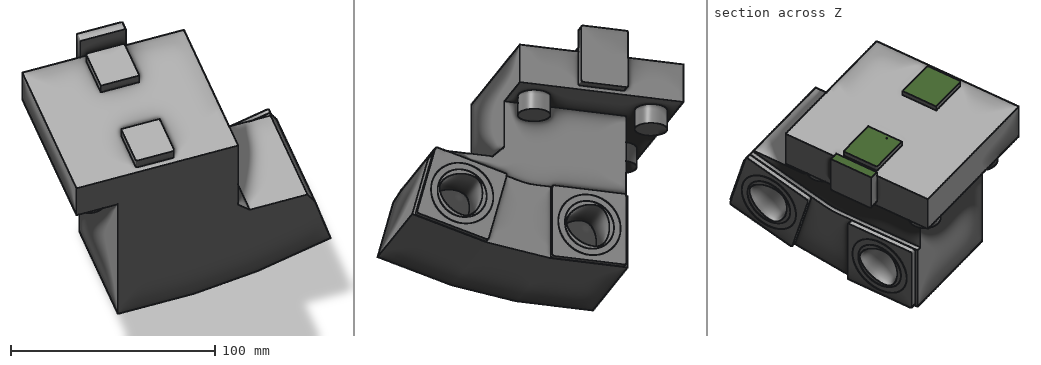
import cadquery as cq
import math

PLATE_X = 80.0
PLATE_Y = 84.0
PLATE_THICK = 20.0

TAB_THICK = 5.0
TAB_WIDTH = 24.0
TAB_HEIGHT = 30.0
TAB_RISE = 12.0
CORNER_RADIUS = 1.0

KEY_X = 22.0
KEY_Y = 20.0
KEY_HEIGHT = 5.0
KEY_EDGE_GAP = 3.0

PIN_DIAMETER = 16.0
PIN_LENGTH = 10.0
PIN_INSET_X = 15.0
PIN_INSET_Y = 12.0

BODY_X = 25.5
BODY_BOTTOM_Z = -101.5
SHOULDER_Z = -50.0
SHOULDER_CHAMFER = 6.0
SHOULDER_END_Y = 120.0
FRONT_X = 23.0

SEAT_TILT = 15.0
SEAT_SPACING = 65.92
SEAT_HALF = 19.0
SEAT_END = 20.5
SEAT_Y = PLATE_Y / 2
SEAT_Z = BODY_BOTTOM_Z + SEAT_HALF
END_FACE_TOP = 12.0
BEND_RADIUS = 30.0

PAD_WIDTH = 38.0
PAD_HEIGHT = 37.5
PAD_THICK = 2.75
RING_OUTER = 32.0
RING_INNER = 25.2
RING_HEIGHT = 0.25

SOCKET_WIDTH = 22.0
SOCKET_LOBE = 0.7
SOCKET_DEPTH = 20.0
SOCKET_TAPER = 1 / 20
SOCKET_POINTS = 36

half_tilt = math.radians(SEAT_TILT / 2)
seat_centers = [
    (SEAT_Y, SEAT_Z, 0.0),
    (
        SEAT_Y + SEAT_SPACING * math.cos(half_tilt),
        SEAT_Z + SEAT_SPACING * math.sin(half_tilt),
        SEAT_TILT,
    ),
]


def on_tilted_seat(along, up):
    """Y, Z of a point given in the tilted seat's own directions."""
    y, z, tilt = seat_centers[1]
    angle = math.radians(tilt)
    return (
        y + along * math.cos(angle) - up * math.sin(angle),
        z + along * math.sin(angle) + up * math.cos(angle),
    )


def box_between(low, high):
    size = [b - a for a, b in zip(low, high)]
    return cq.Workplane("XY").box(*size, centered=False).translate(low)


def make_plate():
    return box_between((0, 0, -PLATE_THICK), (PLATE_X, PLATE_Y, 0))


def make_tab():
    low = (-TAB_THICK, (PLATE_Y - TAB_WIDTH) / 2, TAB_RISE - TAB_HEIGHT)
    high = (0, (PLATE_Y + TAB_WIDTH) / 2, TAB_RISE)
    return box_between(low, high).edges("|X").fillet(CORNER_RADIUS)


def make_keys():
    """Two pads, rounded at the corners nearest the plate's X ends."""
    low_y = (PLATE_Y - KEY_Y) / 2
    left = box_between(
        (KEY_EDGE_GAP, low_y, 0),
        (KEY_EDGE_GAP + KEY_X, low_y + KEY_Y, KEY_HEIGHT),
    )
    left = left.faces("<X").edges("|Z").fillet(CORNER_RADIUS)
    right = left.mirror("YZ", (PLATE_X / 2, 0, 0))
    return left.add(right).combine()


def make_pins():
    return (
        cq.Workplane("XY", origin=(PLATE_X / 2, PLATE_Y / 2, -PLATE_THICK))
        .rect(PLATE_X - 2 * PIN_INSET_X, PLATE_Y - 2 * PIN_INSET_Y, forConstruction=True)
        .vertices()
        .circle(PIN_DIAMETER / 2)
        .extrude(-PIN_LENGTH)
    )


def make_body():
    """Cranked body, with its upper -X face set back above the seats."""
    back_y = SEAT_Y - SEAT_END
    outline = [
        (back_y, -PLATE_THICK),
        (PLATE_Y, -PLATE_THICK),
        (PLATE_Y, SHOULDER_Z + SHOULDER_CHAMFER),
        (PLATE_Y + SHOULDER_CHAMFER, SHOULDER_Z),
        (SHOULDER_END_Y, SHOULDER_Z),
        on_tilted_seat(SEAT_END, END_FACE_TOP),
        on_tilted_seat(SEAT_END, -SEAT_HALF),
        on_tilted_seat(-SEAT_HALF, -SEAT_HALF),
        (SEAT_Y + SEAT_HALF, BODY_BOTTOM_Z),
        (back_y, BODY_BOTTOM_Z),
    ]
    body = cq.Workplane("YZ", origin=(FRONT_X, 0, 0)).polyline(outline).close()
    body = body.extrude(PLATE_X - FRONT_X)

    seat_top = SEAT_Z + SEAT_HALF
    bend_y = SEAT_Y + SEAT_SPACING / 2 / math.cos(half_tilt) - SEAT_HALF * math.tan(half_tilt)
    tangent = BEND_RADIUS * math.tan(half_tilt)
    tilt = math.radians(SEAT_TILT)
    arc_start = (bend_y - tangent, seat_top)
    arc_mid = (
        arc_start[0] + BEND_RADIUS * math.sin(half_tilt),
        seat_top + BEND_RADIUS * (1 - math.cos(half_tilt)),
    )
    arc_end = (bend_y + tangent * math.cos(tilt), seat_top + tangent * math.sin(tilt))
    far_end = on_tilted_seat(SEAT_END, SEAT_HALF)
    set_back = (
        cq.Workplane("YZ", origin=(FRONT_X, 0, 0))
        .moveTo(back_y, seat_top)
        .lineTo(*arc_start)
        .threePointArc(arc_mid, arc_end)
        .lineTo(*far_end)
        .lineTo(far_end[0], -PLATE_THICK)
        .lineTo(back_y, -PLATE_THICK)
        .close()
        .extrude(BODY_X - FRONT_X)
    )
    return body.cut(set_back)


def seat_plane(y, z, tilt, x):
    """Plane facing +X with its local x axis along the seat."""
    angle = math.radians(tilt)
    return cq.Plane(
        origin=(x, y, z),
        xDir=(0, math.cos(angle), math.sin(angle)),
        normal=(1, 0, 0),
    )


def make_pad(y, z, tilt):
    """Seat pad with a low ring on its face."""
    pad_x = FRONT_X - PAD_THICK
    pad = (
        cq.Workplane(seat_plane(y, z, tilt, pad_x))
        .rect(PAD_WIDTH, PAD_HEIGHT)
        .extrude(PAD_THICK)
        .edges("|X")
        .fillet(CORNER_RADIUS)
    )
    ring = (
        cq.Workplane(seat_plane(y, z, tilt, pad_x - RING_HEIGHT))
        .circle(RING_OUTER / 2)
        .circle(RING_INNER / 2)
        .extrude(RING_HEIGHT)
    )
    return pad.union(ring)


def lobed_points(width):
    """Points of a three-lobed curve whose width is the same in every direction."""
    points = []
    for step in range(SOCKET_POINTS):
        angle = 2 * math.pi * step / SOCKET_POINTS
        reach = width / 2 + SOCKET_LOBE * math.cos(3 * angle)
        slope = -3 * SOCKET_LOBE * math.sin(3 * angle)
        points.append((
            reach * math.cos(angle) - slope * math.sin(angle),
            reach * math.sin(angle) + slope * math.cos(angle),
        ))
    return points


def make_socket(y, z, tilt):
    floor_width = SOCKET_WIDTH - SOCKET_DEPTH * SOCKET_TAPER
    return (
        cq.Workplane(seat_plane(y, z, tilt, FRONT_X - PAD_THICK))
        .spline(lobed_points(SOCKET_WIDTH), periodic=True)
        .close()
        .workplane(offset=SOCKET_DEPTH)
        .spline(lobed_points(floor_width), periodic=True)
        .close()
        .loft()
    )


result = make_plate().union(make_body()).union(make_tab()).union(make_keys()).union(make_pins())
for seat in seat_centers:
    result = result.union(make_pad(*seat))
for seat in seat_centers:
    result = result.cut(make_socket(*seat))